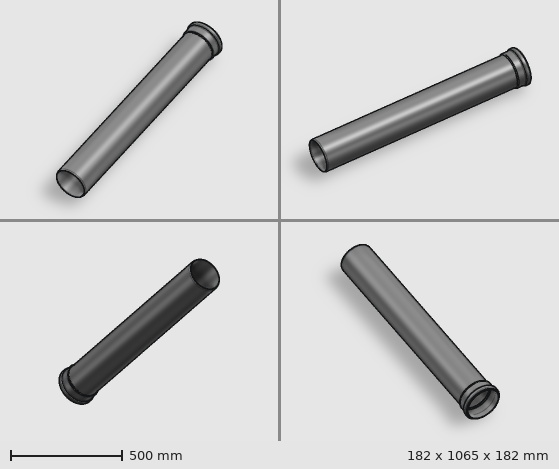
import cadquery as cq

length = 1065.0
pipe_diameter = 160.0
bore_diameter = 149.0

socket_diameter = 170.0
socket_bore_diameter = 161.0
socket_depth = 62.0
socket_taper_length = 6.0

rim_diameter = 182.0
rim_shoulder_diameter = 174.0
rim_lip_length = 3.0
rim_length = 25.0
rim_taper_length = 5.0

end_chamfer_length = 7.0
end_chamfer_depth = 2.0

mouth_y = length / 2
plain_end_y = -length / 2
socket_base_y = mouth_y - socket_depth
rim_lip_y = mouth_y - rim_lip_length
rim_shoulder_y = mouth_y - rim_length
rim_rounding = (rim_diameter - rim_shoulder_diameter) / 2
socket_neck_y = socket_base_y - socket_taper_length


def revolve_about_y(profile):
    """Revolve a closed (radius, y) profile around the Y axis."""
    return profile.revolve(360, (0, 0, 0), (0, 1, 0))


def outer_body():
    """Solid envelope of the pipe, socket and rounded rim."""
    pipe_radius = pipe_diameter / 2
    socket_radius = socket_diameter / 2
    rim_radius = rim_diameter / 2
    profile = (
        cq.Workplane("XY")
        .moveTo(0, plain_end_y)
        .lineTo(pipe_radius - end_chamfer_depth, plain_end_y)
        .lineTo(pipe_radius, plain_end_y + end_chamfer_length)
        .lineTo(pipe_radius, socket_neck_y)
        .radiusArc((socket_radius, socket_base_y), -socket_taper_length)
        .lineTo(socket_radius, rim_shoulder_y - rim_taper_length)
        .lineTo(rim_shoulder_diameter / 2, rim_shoulder_y)
        .radiusArc((rim_radius, rim_shoulder_y + rim_rounding), -rim_rounding)
        .lineTo(rim_radius, rim_lip_y - rim_rounding)
        .radiusArc((rim_shoulder_diameter / 2, rim_lip_y), -rim_rounding)
        .lineTo(socket_radius, mouth_y)
        .lineTo(0, mouth_y)
        .close()
    )
    return revolve_about_y(profile)


def inner_passage():
    """Through bore that widens inside the socket."""
    profile = cq.Workplane("XY").polyline([
        (0, plain_end_y),
        (bore_diameter / 2, plain_end_y),
        (bore_diameter / 2, socket_neck_y),
        (socket_bore_diameter / 2, socket_base_y),
        (socket_bore_diameter / 2, mouth_y),
        (0, mouth_y),
    ]).close()
    return revolve_about_y(profile)


result = outer_body().cut(inner_passage())